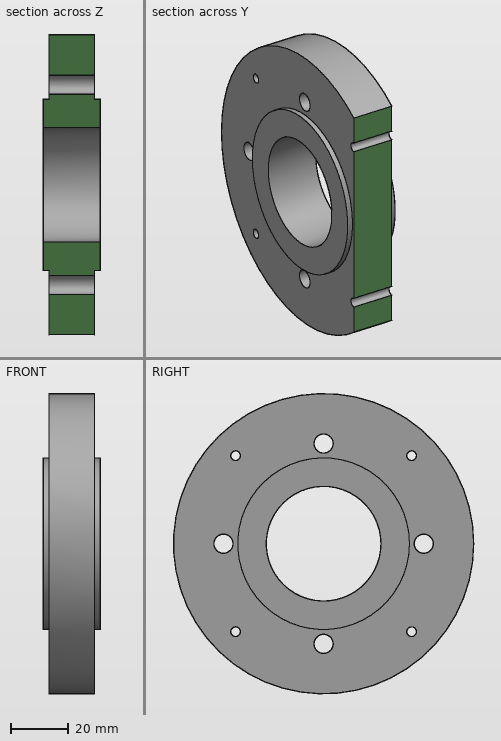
import cadquery as cq

disc_diameter = 105.0
disc_thickness = 16.0
hub_diameter = 60.0
hub_height = 2.0
bore_diameter = 40.0

large_hole_diameter = 6.6
large_hole_circle = 70.0
large_hole_start_angle = 0.0

small_hole_diameter = 3.3
small_hole_circle = 87.0
small_hole_start_angle = 45.0

holes_per_circle = 4
overall_thickness = disc_thickness + 2 * hub_height


def cylinder_along_x(diameter, length):
    """Solid cylinder on the X axis, centred on the origin."""
    return cq.Workplane("YZ", origin=(-length / 2, 0, 0)).circle(diameter / 2).extrude(length)


def hole_circle(hole_diameter, circle_diameter, start_angle):
    """Cutters for evenly spaced through holes around the X axis."""
    return (
        cq.Workplane("YZ", origin=(-overall_thickness / 2, 0, 0))
        .polarArray(circle_diameter / 2, start_angle, 360, holes_per_circle)
        .circle(hole_diameter / 2)
        .extrude(overall_thickness)
    )


disc = cylinder_along_x(disc_diameter, disc_thickness)
hub = cylinder_along_x(hub_diameter, overall_thickness)
flange = disc.union(hub)

bore = cylinder_along_x(bore_diameter, overall_thickness)
large_holes = hole_circle(large_hole_diameter, large_hole_circle, large_hole_start_angle)
small_holes = hole_circle(small_hole_diameter, small_hole_circle, small_hole_start_angle)

result = flange.cut(bore).cut(large_holes).cut(small_holes)